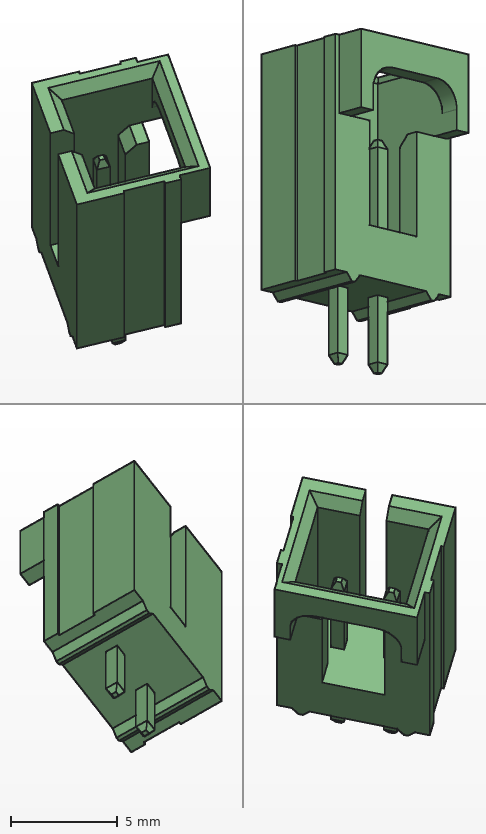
import cadquery as cq


body_width = 7.38
body_depth = 5.1
body_height = 11.43
overall_depth = 6.6
front_y = -2.69
body_back_y = front_y + body_depth
floor_height = 2.54

shroud_width = 6.88
shroud_back_y = front_y + overall_depth
shroud_height = 3.81
shroud_bottom_z = body_height - shroud_height

cavity_width = 5.36
front_wall = 1.17
rear_wall = 1.0
cavity_front_y = front_y + front_wall
cavity_back_y = shroud_back_y - rear_wall
cavity_depth = cavity_back_y - cavity_front_y
cavity_center_y = (cavity_front_y + cavity_back_y) / 2
lead_in = 0.51

slot_width = 1.27
rear_bar_height = 1.52
window_top_z = body_height - rear_bar_height
window_radius = 1.27
groove_depth = 0.127
groove_front_inset = 2.32
groove_back_inset = 0.78
groove_front_y = front_y + groove_front_inset
groove_back_y = body_back_y - groove_back_inset

rib_width = 1.17
rib_depth = 1.18
rib_chamfer = 0.56
rib_top_z = shroud_bottom_z

ridge_spacing = 5.08
ridge_height = 0.38
ridge_base_width = 0.86
ridge_tip_width = 0.2

pin_pitch = 2.54
pin_size = 0.64
pin_tip_size = 0.26
pin_tip_length = 0.43
pin_bottom_z = -3.68
pin_top_z = rib_top_z


def box(x_min, x_max, y_min, y_max, z_min, z_max):
    """Axis-aligned box between the given limits."""
    size = (x_max - x_min, y_max - y_min, z_max - z_min)
    return cq.Workplane("XY").box(*size, centered=False).translate((x_min, y_min, z_min))


def centered_box(width, y_min, y_max, z_min, z_max):
    """Box symmetric about the X = 0 plane."""
    return box(-width / 2, width / 2, y_min, y_max, z_min, z_max)


def make_outer_block():
    """Body and rear shroud, with a shallow groove down each side."""
    block = centered_box(body_width, front_y, body_back_y, 0, body_height)
    shroud = centered_box(shroud_width, front_y, shroud_back_y, shroud_bottom_z, body_height)
    block = block.union(shroud)
    half_width = body_width / 2
    for x_min in (-half_width, half_width - groove_depth):
        groove = box(x_min, x_min + groove_depth, groove_front_y, groove_back_y, 0, body_height)
        block = block.cut(groove)
    return block


def make_cavity():
    """Mating cavity, open at the top and at the back, with its lead-in."""
    cavity = centered_box(cavity_width, cavity_front_y, cavity_back_y, floor_height, body_height)
    mouth = (
        cq.Workplane("XY", origin=(0, cavity_center_y, body_height - lead_in))
        .rect(cavity_width, cavity_depth)
        .workplane(offset=lead_in)
        .rect(cavity_width + 2 * lead_in, cavity_depth + 2 * lead_in)
        .loft(ruled=True)
    )
    return cavity.union(mouth)


def make_window():
    """Rear opening below the shroud's top bar, with rounded upper corners."""
    window = centered_box(cavity_width, cavity_center_y, shroud_back_y, floor_height, window_top_z)
    return window.edges("|Y and >Z").fillet(window_radius)


def make_slot():
    """Polarizing slot through the front wall."""
    return centered_box(slot_width, front_y, cavity_center_y, floor_height, body_height)


def make_ribs():
    """Pair of rear corner ribs, chamfered on the upper edge facing the pins."""
    rib_front_y = body_back_y - rib_depth
    inner_x = cavity_width / 2 - rib_width
    rib = box(inner_x, cavity_width / 2, rib_front_y, body_back_y, floor_height, rib_top_z)
    rib = rib.edges("|X and >Z and <Y").chamfer(rib_chamfer)
    return rib.union(rib.mirror("YZ"))


def make_ridge(center_x):
    """Tapered ridge running front to back under the body."""
    half_base = ridge_base_width / 2
    half_tip = ridge_tip_width / 2
    return (
        cq.Workplane("XZ", origin=(center_x, body_back_y, 0))
        .polyline([
            (-half_base, 0),
            (half_base, 0),
            (half_tip, -ridge_height),
            (-half_tip, -ridge_height),
        ])
        .close()
        .extrude(body_depth)
    )


def make_pin_tip(center_x, base_z, direction):
    """Pyramidal pin end; direction is 1 for upward and -1 for downward."""
    return (
        cq.Workplane("XY", origin=(center_x, 0, base_z))
        .rect(pin_size, pin_size)
        .workplane(offset=direction * pin_tip_length)
        .rect(pin_tip_size, pin_tip_size)
        .loft(ruled=True)
    )


def make_pin(center_x):
    """Square pin tapered at both ends."""
    half = pin_size / 2
    shank_bottom_z = pin_bottom_z + pin_tip_length
    shank_top_z = pin_top_z - pin_tip_length
    shank = box(center_x - half, center_x + half, -half, half, shank_bottom_z, shank_top_z)
    lower_tip = make_pin_tip(center_x, shank_bottom_z, -1)
    upper_tip = make_pin_tip(center_x, shank_top_z, 1)
    return shank.union(lower_tip).union(upper_tip)


result = make_outer_block().cut(make_cavity()).cut(make_window()).cut(make_slot())
result = result.union(make_ribs())
for side in (-1, 1):
    result = result.union(make_ridge(side * ridge_spacing / 2))
    result = result.union(make_pin(side * pin_pitch / 2))